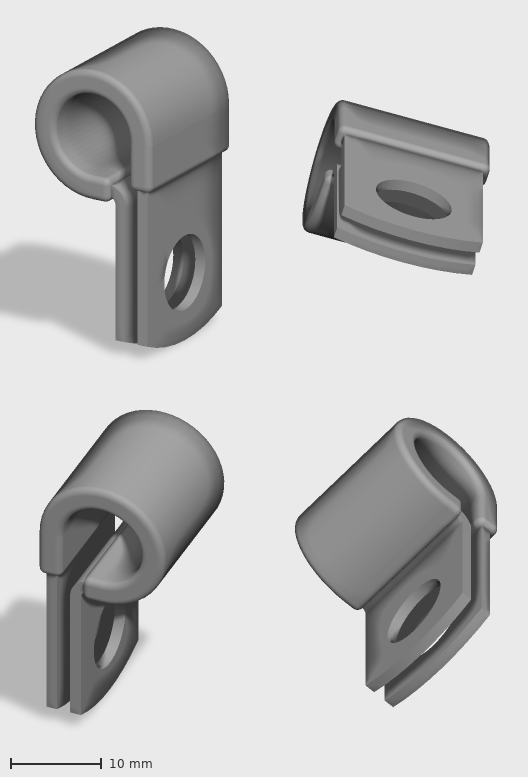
import cadquery as cq
import math

cushion_length = 17.45
loop_outer_radius = 7.575
edge_radius = 0.75
strap_thickness = 1.28
cushion_wall = strap_thickness + 2 * edge_radius
loop_inner_radius = loop_outer_radius - cushion_wall
back_end_drop = 5.55
lip_end_x = 2.25

strap_width = cushion_length - 2 * edge_radius
strap_outer_radius = loop_outer_radius - edge_radius
strap_inner_radius = strap_outer_radius - strap_thickness
bend_inner_radius = 1.05
bend_outer_radius = bend_inner_radius + strap_thickness
front_leg_x = 2.7
bend_center_x = front_leg_x - bend_inner_radius
bend_center_z = -strap_outer_radius - bend_inner_radius
overall_height = 32.87
leg_bottom_z = loop_outer_radius - overall_height
leg_end_bulge = 1.65
bolt_hole_diameter = 8.7
bolt_hole_z = -17.4


def extrude_centered(profile, width):
    """Extrude an XZ profile symmetrically about Y = 0."""
    return profile.extrude(width / 2, both=True)


def make_cushion():
    """Three-quarter loop with straight ends and all edges rounded."""
    outer_diagonal = loop_outer_radius * math.sqrt(0.5)
    inner_diagonal = loop_inner_radius * math.sqrt(0.5)
    profile = (
        cq.Workplane("XZ")
        .moveTo(loop_outer_radius, -back_end_drop)
        .lineTo(loop_outer_radius, 0)
        .threePointArc((-outer_diagonal, outer_diagonal), (0, -loop_outer_radius))
        .lineTo(lip_end_x, -loop_outer_radius)
        .lineTo(lip_end_x, -loop_inner_radius)
        .lineTo(0, -loop_inner_radius)
        .threePointArc((-inner_diagonal, inner_diagonal), (loop_inner_radius, 0))
        .lineTo(loop_inner_radius, -back_end_drop)
        .close()
    )
    cushion = extrude_centered(profile, cushion_length)
    end_edges = cushion.faces("|Y").edges()
    corner_edges = cushion.edges("|Y").filter(is_free_end)
    return end_edges.add(corner_edges).fillet(edge_radius)


def is_free_end(edge):
    """True for edges along Y at the two free ends of the cushion."""
    center = edge.Center()
    at_lip = abs(center.x - lip_end_x) < 0.003
    at_back = abs(center.z + back_end_drop) < 0.003
    return at_lip or at_back


def make_front_leg():
    """Leg that leaves the lower lip and bends downward."""
    diagonal = math.sqrt(0.5)
    profile = (
        cq.Workplane("XZ")
        .moveTo(0, -strap_inner_radius)
        .lineTo(bend_center_x, -strap_inner_radius)
        .threePointArc(
            (bend_center_x + bend_outer_radius * diagonal,
             bend_center_z + bend_outer_radius * diagonal),
            (bend_center_x + bend_outer_radius, bend_center_z),
        )
        .lineTo(front_leg_x + strap_thickness, leg_bottom_z)
        .lineTo(front_leg_x, leg_bottom_z)
        .lineTo(front_leg_x, bend_center_z)
        .threePointArc(
            (bend_center_x + bend_inner_radius * diagonal,
             bend_center_z + bend_inner_radius * diagonal),
            (bend_center_x, -strap_outer_radius),
        )
        .lineTo(0, -strap_outer_radius)
        .close()
    )
    return extrude_centered(profile, strap_width)


def make_back_leg():
    """Straight leg that continues the back end of the loop."""
    profile = (
        cq.Workplane("XZ")
        .moveTo(strap_inner_radius, 0)
        .lineTo(strap_outer_radius, 0)
        .lineTo(strap_outer_radius, leg_bottom_z)
        .lineTo(strap_inner_radius, leg_bottom_z)
        .close()
    )
    return extrude_centered(profile, strap_width)


def make_leg_outline():
    """Block along X with the legs' curved lower end and bolt hole."""
    half_width = strap_width / 2
    corner_z = leg_bottom_z + leg_end_bulge
    return (
        cq.Workplane("YZ")
        .moveTo(-half_width, 0)
        .lineTo(-half_width, corner_z)
        .threePointArc((0, leg_bottom_z), (half_width, corner_z))
        .lineTo(half_width, 0)
        .close()
        .moveTo(0, bolt_hole_z)
        .circle(bolt_hole_diameter / 2)
        .extrude(loop_outer_radius)
    )


legs = make_front_leg().union(make_back_leg()).intersect(make_leg_outline())
result = make_cushion().union(legs)